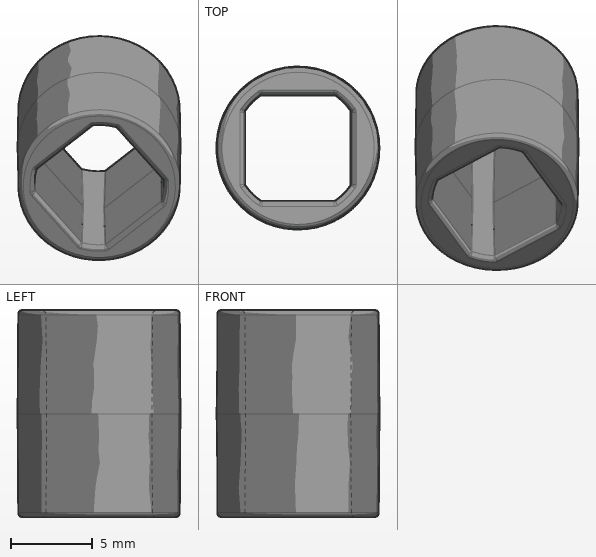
import cadquery as cq

LENGTH = 12.7
OUTER_RADIUS = 5.0
BORE_FLAT_WIDTH = 6.43
BORE_CORNER_RADIUS = 3.95
DRAFT_ANGLE = 0.4
RIM_RADIUS = 0.3
BORE_EDGE_RADIUS = 0.1

HALF_LENGTH = LENGTH / 2


def make_upper_body():
    """Upper half of the outside, narrowing slightly towards its end."""
    return cq.Workplane("XY").circle(OUTER_RADIUS).extrude(HALF_LENGTH, taper=DRAFT_ANGLE)


def make_upper_bore():
    """Square opening widening towards the end, its corners cut back by a straight cylinder."""
    square = (
        cq.Workplane("XY")
        .rect(BORE_FLAT_WIDTH, BORE_FLAT_WIDTH)
        .extrude(HALF_LENGTH, taper=-DRAFT_ANGLE)
    )
    corner_limit = cq.Workplane("XY").circle(BORE_CORNER_RADIUS).extrude(HALF_LENGTH)
    bore = square.intersect(corner_limit)
    return bore.edges("not(<Z or >Z)").fillet(BORE_EDGE_RADIUS)


def round_end(half_sleeve):
    """Round the outer rim and the bore mouth of the end face."""
    return half_sleeve.faces(">Z").edges().fillet(RIM_RADIUS)


upper_half = round_end(make_upper_body().cut(make_upper_bore()))
lower_half = upper_half.mirror("XY")
result = upper_half.union(lower_half)